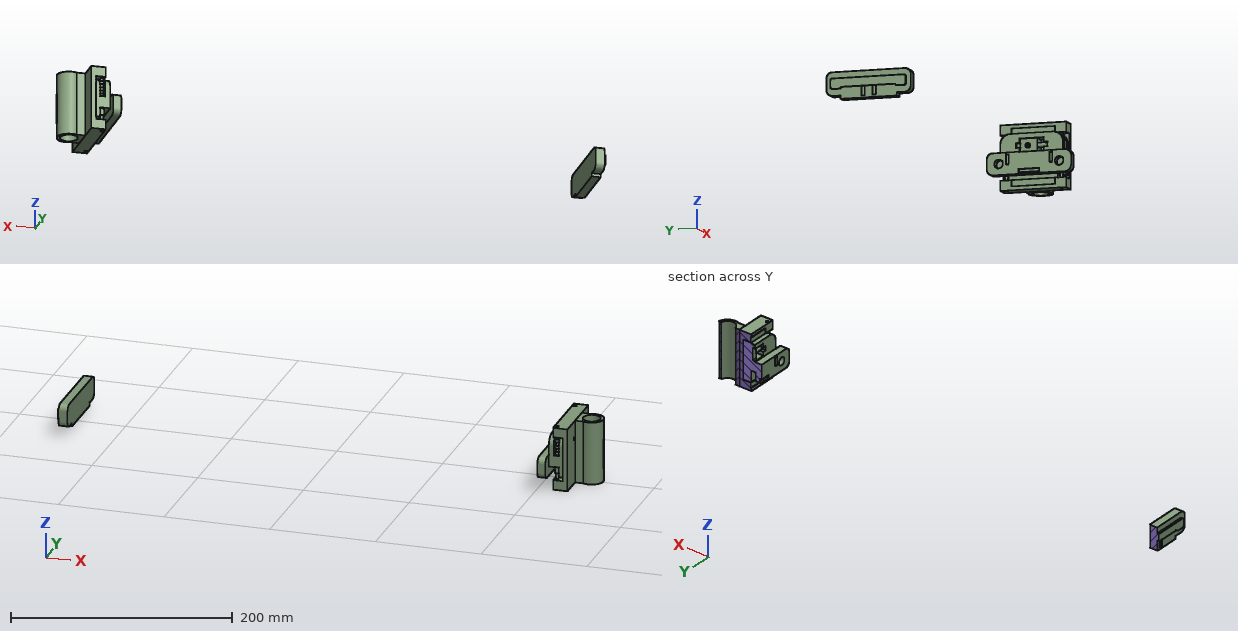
import cadquery as cq

CLIP_WIDTH = 80.5
CLIP_CORNER_RADIUS = 5.5

BUCKLE_FRONT_X = -250.5
BUCKLE_BACK_X = -242.0
BUCKLE_TOP_Z = -0.5
BUCKLE_BOTTOM_Z = -22.0
TAB_HALF_WIDTH = 27.0
TAB_BOTTOM_Z = -25.0
PANEL_RAISE = 2.0
PANEL_HALF_WIDTH = 36.0
PANEL_TOP_Z = -6.5
PANEL_BOTTOM_Z = -16.0
PANEL_NOTCH_DEPTH = 1.5
PANEL_NOTCH_HALF_WIDTH = 27.0
PANEL_CORNER_RADIUS = 2.0
GRIP_GROOVE_WIDTH = 3.0
GRIP_GROOVE_Y = 5.3
GRIP_GROOVE_DEPTH = 1.0
GRIP_GROOVE_END_Z = -23.0

BLOCK_FRONT_X = 214.5
BLOCK_BACK_X = 228.0
BLOCK_WIDTH = 62.5
BLOCK_HEIGHT = 60.0
CHANNEL_BACK_X = 223.5
CHANNEL_HALF_HEIGHT = 20.5
LABEL_WIDTH = 41.5
LABEL_HEIGHT = 53.0
LABEL_DEPTH = 0.5
SIGHT_HOLE_DIAMETER = 2.5
SIGHT_HOLE_Y = -10.5
SIGHT_HOLE_Z = 13.0

RING_X = 241.0
RING_Y = 1.5
RING_RADIUS = 11.0
RING_BORE_DIAMETER = 16.0
NECK_WIDTH = 20.0
RIB_OUTER_X = 252.5
RIB_WIDTH = 1.5
RIB_TOP_Z = 10.5
RIB_BOTTOM_Z = -16.5

BAR_FRONT_X = 202.5
BAR_BACK_X = 210.0
BAR_TOP_Z = 2.5
BAR_BOTTOM_Z = -17.5
BAR_HOLE_DIAMETER = 8.0
BAR_HOLE_Y = 29.0
BAR_HOLE_Z = -7.5
BAR_HOLE_DEPTH = 6.0
BAR_SLIT_WIDTH = 3.0
BAR_SLIT_Y = 20.5
BAR_SLIT_TOP_Z = 1.0
BAR_SLIT_BOTTOM_Z = -8.5
BAR_RECESS_DEPTH = 2.5
FINGER_RECESS_WIDTH = 19.5
FINGER_RECESS_TOP_Z = -13.0
FINGER_RECESS_BOTTOM_Z = -16.0
SLIDE_HALF_WIDTH = 30.0
SLIDE_CORNER_RADIUS = 9.0
TONGUE_TOP_Z = 2.5
TONGUE_BOTTOM_Z = -8.5
CORE_HALF_WIDTH = 23.0
REAR_PLATE_BOTTOM_Z = -17.5
NOTCH_BACK_X = 219.5

PIN_X = 217.0
PIN_Y = 26.5
PIN_DIAMETER = 2.9
PIN_RIB_DIAMETER = 4.45
PIN_RIB_HEIGHT = 3.0
PIN_RIB_PITCH = 6.0
PIN_RIB_COUNT = 3
COLLAR_BOTTOM_Z = -15.0

WINDOW_HALF_WIDTH = 11.5
WINDOW_TOP_Z = 16.0
WINDOW_BOTTOM_Z = 3.5
LATCH_FRONT_X = 212.5
LATCH_SIDE_Y = -4.5
PIVOT_DIAMETER = 4.45
PIVOT_HALF_LENGTH = 15.0
PIVOT_X = LATCH_FRONT_X + PIVOT_DIAMETER / 2
PIVOT_Z = (WINDOW_TOP_Z + WINDOW_BOTTOM_Z) / 2
LATCH_HOLE_DIAMETER = 2.05
LATCH_COUNTERBORE_DIAMETER = 4.45
LATCH_COUNTERBORE_DEPTH = 1.0
LATCH_HOLE_Y = 4.5

SIDES = (-1, 1)


def box_between(x0, x1, y0, y1, z0, z1):
    """Box between two limits along each axis."""
    return cq.Workplane("XY").box(x1 - x0, y1 - y0, z1 - z0, centered=False).translate((x0, y0, z0))


def wide_box(x0, x1, half_width, z0, z1):
    """Box centred on Y = 0."""
    return box_between(x0, x1, -half_width, half_width, z0, z1)


def x_cylinder(diameter, x0, x1, y, z):
    return cq.Workplane("YZ", origin=(x0, y, z)).circle(diameter / 2).extrude(x1 - x0)


def y_cylinder(diameter, x, half_length, z):
    return cq.Workplane("XZ", origin=(x, 0, z)).circle(diameter / 2).extrude(half_length, both=True)


def z_cylinder(diameter, x, y, z0, z1):
    return cq.Workplane("XY", origin=(x, y, z0)).circle(diameter / 2).extrude(z1 - z0)


def rounded_clip_plate(x0, x1, z0, z1):
    """Full-width plate with its four corners rounded about X."""
    return wide_box(x0, x1, CLIP_WIDTH / 2, z0, z1).edges("|X").fillet(CLIP_CORNER_RADIUS)


def buckle_panel():
    """Raised front panel with a shallow notch along its lower edge."""
    notch_z = PANEL_BOTTOM_Z + PANEL_NOTCH_DEPTH
    notch_top_half_width = PANEL_NOTCH_HALF_WIDTH - PANEL_NOTCH_DEPTH
    panel = (
        cq.Workplane("YZ", origin=(BUCKLE_FRONT_X - PANEL_RAISE, 0, 0))
        .moveTo(-PANEL_HALF_WIDTH, PANEL_BOTTOM_Z)
        .lineTo(-PANEL_NOTCH_HALF_WIDTH, PANEL_BOTTOM_Z)
        .lineTo(-notch_top_half_width, notch_z)
        .lineTo(notch_top_half_width, notch_z)
        .lineTo(PANEL_NOTCH_HALF_WIDTH, PANEL_BOTTOM_Z)
        .lineTo(PANEL_HALF_WIDTH, PANEL_BOTTOM_Z)
        .lineTo(PANEL_HALF_WIDTH, PANEL_TOP_Z)
        .lineTo(-PANEL_HALF_WIDTH, PANEL_TOP_Z)
        .close()
        .extrude(PANEL_RAISE)
    )
    outer_corners = panel.edges("|X").edges("<Y or >Y")
    return outer_corners.fillet(PANEL_CORNER_RADIUS)


def make_buckle():
    body = rounded_clip_plate(BUCKLE_FRONT_X, BUCKLE_BACK_X, BUCKLE_BOTTOM_Z, BUCKLE_TOP_Z)
    tab = wide_box(BUCKLE_FRONT_X, BUCKLE_BACK_X, TAB_HALF_WIDTH, TAB_BOTTOM_Z, PANEL_BOTTOM_Z)
    body = body.union(tab).union(buckle_panel())
    for side in SIDES:
        groove = box_between(
            BUCKLE_FRONT_X, BUCKLE_FRONT_X + GRIP_GROOVE_DEPTH,
            side * GRIP_GROOVE_Y - GRIP_GROOVE_WIDTH / 2, side * GRIP_GROOVE_Y + GRIP_GROOVE_WIDTH / 2,
            GRIP_GROOVE_END_Z, PANEL_BOTTOM_Z + PANEL_NOTCH_DEPTH,
        )
        body = body.cut(groove)
    return body


def make_mount():
    """Block with a channel for the slide along its front."""
    top = BLOCK_HEIGHT / 2
    block = wide_box(BLOCK_FRONT_X, BLOCK_BACK_X, BLOCK_WIDTH / 2, -top, top)
    channel = wide_box(
        BLOCK_FRONT_X, CHANNEL_BACK_X, BLOCK_WIDTH / 2, -CHANNEL_HALF_HEIGHT, CHANNEL_HALF_HEIGHT
    )
    label_recess = wide_box(
        BLOCK_FRONT_X, BLOCK_FRONT_X + LABEL_DEPTH, LABEL_WIDTH / 2, -LABEL_HEIGHT / 2, LABEL_HEIGHT / 2
    )
    sight_hole = x_cylinder(SIGHT_HOLE_DIAMETER, CHANNEL_BACK_X, BLOCK_BACK_X, SIGHT_HOLE_Y, SIGHT_HOLE_Z)

    mount = block.cut(channel).cut(label_recess).cut(sight_hole)
    for side in SIDES:
        mount = mount.cut(z_cylinder(PIN_DIAMETER, PIN_X, side * PIN_Y, -top, top))
    return mount


def make_pole_ring():
    """Full-height ring with a neck to the block and a rib on the far side."""
    top = BLOCK_HEIGHT / 2
    neck = box_between(
        BLOCK_BACK_X, RING_X, RING_Y - NECK_WIDTH / 2, RING_Y + NECK_WIDTH / 2, -top, top
    )
    ring = z_cylinder(2 * RING_RADIUS, RING_X, RING_Y, -top, top)
    rib = box_between(
        RING_X, RIB_OUTER_X, RING_Y - RIB_WIDTH / 2, RING_Y + RIB_WIDTH / 2, RIB_BOTTOM_Z, RIB_TOP_Z
    )
    bore = z_cylinder(RING_BORE_DIAMETER, RING_X, RING_Y, -top, top)
    return neck.union(ring).union(rib).cut(bore)


def make_cross_bar():
    bar = rounded_clip_plate(BAR_FRONT_X, BAR_BACK_X, BAR_BOTTOM_Z, BAR_TOP_Z)
    recess_back_x = BAR_FRONT_X + BAR_RECESS_DEPTH
    finger_recess = wide_box(
        BAR_FRONT_X, recess_back_x, FINGER_RECESS_WIDTH / 2, FINGER_RECESS_BOTTOM_Z, FINGER_RECESS_TOP_Z
    )
    bar = bar.cut(finger_recess)
    slit_radius = BAR_SLIT_WIDTH / 2
    slit_round_z = BAR_SLIT_BOTTOM_Z + slit_radius
    for side in SIDES:
        slit_y = side * BAR_SLIT_Y
        slit = box_between(
            BAR_FRONT_X, recess_back_x,
            slit_y - slit_radius, slit_y + slit_radius,
            slit_round_z, BAR_SLIT_TOP_Z,
        )
        slit = slit.union(x_cylinder(BAR_SLIT_WIDTH, BAR_FRONT_X, recess_back_x, slit_y, slit_round_z))
        hole = x_cylinder(
            BAR_HOLE_DIAMETER, BAR_FRONT_X, BAR_FRONT_X + BAR_HOLE_DEPTH, side * BAR_HOLE_Y, BAR_HOLE_Z
        )
        bar = bar.cut(slit).cut(hole)
    return bar


def round_topped_plate(x0, x1, z0):
    """Slide plate reaching the channel roof, with its two top corners rounded."""
    plate = wide_box(x0, x1, SLIDE_HALF_WIDTH, z0, CHANNEL_HALF_HEIGHT)
    return plate.edges("|X and >Z").fillet(SLIDE_CORNER_RADIUS)


def latch_step():
    """Step filling one side of the window, on a cross pivot, with a counterbored hole."""
    block = box_between(
        LATCH_FRONT_X, CHANNEL_BACK_X, LATCH_SIDE_Y, WINDOW_HALF_WIDTH, WINDOW_BOTTOM_Z, WINDOW_TOP_Z
    )
    pivot = y_cylinder(PIVOT_DIAMETER, PIVOT_X, PIVOT_HALF_LENGTH, PIVOT_Z)
    counterbore = x_cylinder(
        LATCH_COUNTERBORE_DIAMETER, LATCH_FRONT_X, LATCH_FRONT_X + LATCH_COUNTERBORE_DEPTH,
        LATCH_HOLE_Y, PIVOT_Z,
    )
    hole = x_cylinder(LATCH_HOLE_DIAMETER, LATCH_FRONT_X, CHANNEL_BACK_X, LATCH_HOLE_Y, PIVOT_Z)
    return block.union(pivot).cut(counterbore).cut(hole)


def make_slide():
    """Cross bar on a plate whose back runs in the channel, with side notches for the pins."""
    front_plate = round_topped_plate(BAR_BACK_X, BLOCK_FRONT_X, TONGUE_BOTTOM_Z)
    rear_plate = round_topped_plate(NOTCH_BACK_X, CHANNEL_BACK_X, REAR_PLATE_BOTTOM_Z)
    core = wide_box(
        BLOCK_FRONT_X, CHANNEL_BACK_X, CORE_HALF_WIDTH, -CHANNEL_HALF_HEIGHT, CHANNEL_HALF_HEIGHT
    )
    tongue = wide_box(BLOCK_FRONT_X, NOTCH_BACK_X, SLIDE_HALF_WIDTH, TONGUE_BOTTOM_Z, TONGUE_TOP_Z)
    slide = front_plate.union(core).union(tongue).union(rear_plate).union(make_cross_bar())

    window = wide_box(BAR_BACK_X, CHANNEL_BACK_X, WINDOW_HALF_WIDTH, WINDOW_BOTTOM_Z, WINDOW_TOP_Z)
    pivot_slot = wide_box(
        BAR_BACK_X, PIVOT_X, PIVOT_HALF_LENGTH, PIVOT_Z - PIVOT_DIAMETER / 2, PIVOT_Z + PIVOT_DIAMETER / 2
    )
    slide = slide.cut(window).cut(pivot_slot).union(latch_step())
    for side in SIDES:
        slide = slide.cut(z_cylinder(PIN_DIAMETER, PIN_X, side * PIN_Y, TONGUE_BOTTOM_Z, TONGUE_TOP_Z))
    return slide


def make_guide_pin(y):
    """Vertical pin with ribs above the slide's tongue and a collar below it."""
    pin = z_cylinder(PIN_DIAMETER, PIN_X, y, -BLOCK_HEIGHT / 2, BLOCK_HEIGHT / 2)
    for index in range(PIN_RIB_COUNT):
        rib_z = TONGUE_TOP_Z + index * PIN_RIB_PITCH
        pin = pin.union(z_cylinder(PIN_RIB_DIAMETER, PIN_X, y, rib_z, rib_z + PIN_RIB_HEIGHT))
    return pin.union(z_cylinder(PIN_RIB_DIAMETER, PIN_X, y, COLLAR_BOTTOM_Z, TONGUE_BOTTOM_Z))


buckle = make_buckle()
mount = make_mount()
pole_ring = make_pole_ring()
slide = make_slide()
guide_pins = [make_guide_pin(side * PIN_Y) for side in SIDES]

result = cq.Compound.makeCompound(
    [buckle.val(), mount.val(), pole_ring.val(), slide.val(), *[pin.val() for pin in guide_pins]]
)